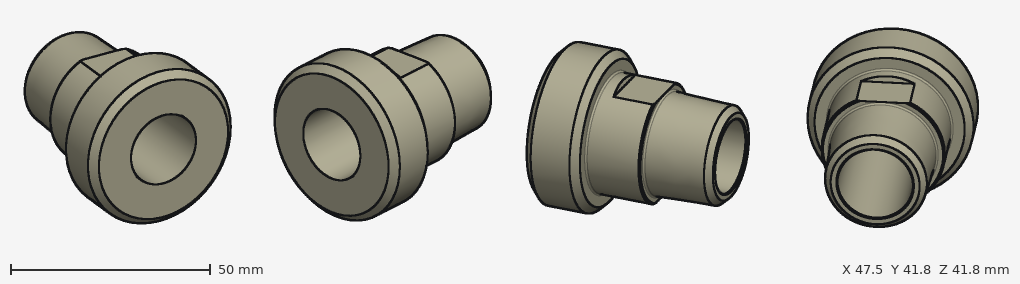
import cadquery as cq
import math

length = 47.5
flange_radius = 41.8 / 2
bore_radius = 19.0 / 2
bore_chamfer = 0.25

spigot_start_radius = 12.82
spigot_end_x = 17.58
spigot_end_radius = 13.4
spigot_chamfer_length = 1.7
spigot_chamfer_depth = 1.6

collar_radius = 31.0 / 2
collar_chamfer = 0.4
root_fillet = 0.48
collar_start_x = spigot_end_x + root_fillet

flange_start_x = 32.9
flange_chamfer = 2.0

flat_height = 13.95
flat_end_x = 29.05
flat_wall_angle = 15.0
cutter_margin = 0.48


def make_body():
    """Revolve the outer profile, with concave fillets at both shoulders."""
    arc_inset = root_fillet * math.sqrt(0.5)
    spigot_fillet_top = spigot_end_radius + root_fillet
    spigot_fillet_mid = (spigot_end_x + arc_inset, spigot_fillet_top - arc_inset)
    collar_fillet_start = flange_start_x - root_fillet
    collar_fillet_top = collar_radius + root_fillet
    collar_fillet_mid = (collar_fillet_start + arc_inset, collar_fillet_top - arc_inset)
    profile = (
        cq.Workplane("XY")
        .lineTo(0, spigot_start_radius - spigot_chamfer_depth)
        .lineTo(spigot_chamfer_length, spigot_start_radius)
        .lineTo(spigot_end_x, spigot_end_radius)
        .threePointArc(spigot_fillet_mid, (collar_start_x, spigot_fillet_top))
        .lineTo(collar_start_x, collar_radius - collar_chamfer)
        .lineTo(collar_start_x + collar_chamfer, collar_radius)
        .lineTo(collar_fillet_start, collar_radius)
        .threePointArc(collar_fillet_mid, (flange_start_x, collar_fillet_top))
        .lineTo(flange_start_x, flange_radius - flange_chamfer)
        .lineTo(flange_start_x + flange_chamfer, flange_radius)
        .lineTo(length - flange_chamfer, flange_radius)
        .lineTo(length, flange_radius - flange_chamfer)
        .lineTo(length, 0)
        .close()
    )
    return profile.revolve(360, (0, 0, 0), (1, 0, 0))


def make_flat_cutter(side):
    """Block that cuts one flat; side is 1 for +Z and -1 for -Z."""
    top = collar_radius + cutter_margin
    wall_run = (top - flat_height) * math.tan(math.radians(flat_wall_angle))
    return (
        cq.Workplane("XZ")
        .moveTo(spigot_end_x, side * flat_height)
        .lineTo(flat_end_x, side * flat_height)
        .lineTo(flat_end_x + wall_run, side * top)
        .lineTo(spigot_end_x, side * top)
        .close()
        .extrude(collar_radius, both=True)
    )


def make_bore():
    """Through bore with a small chamfer at the spigot mouth."""
    return (
        cq.Workplane("XY")
        .lineTo(0, bore_radius + bore_chamfer)
        .lineTo(bore_chamfer, bore_radius)
        .lineTo(length, bore_radius)
        .lineTo(length, 0)
        .close()
        .revolve(360, (0, 0, 0), (1, 0, 0))
    )


result = make_body().cut(make_bore())
for side in (1, -1):
    result = result.cut(make_flat_cutter(side))